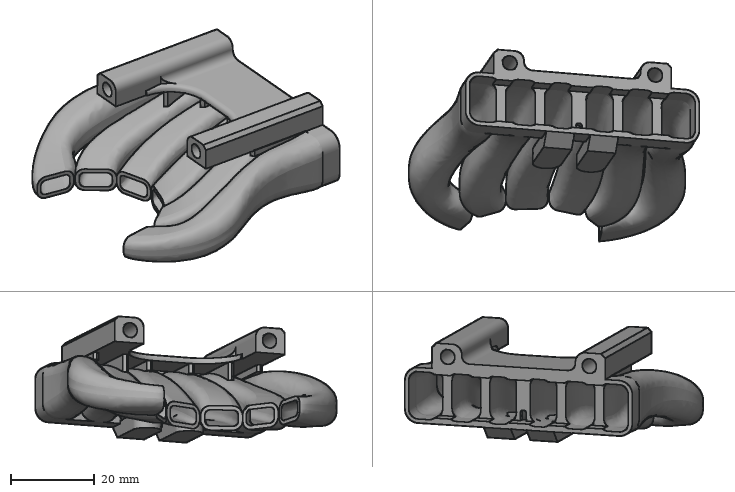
import cadquery as cq
import math

TOTAL_HEIGHT = 26.4

COLLAR_WIDTH = 57.8
COLLAR_DEPTH = 5.1
COLLAR_BOTTOM = 6.5
COLLAR_TOP = 20.15
COLLAR_RADIUS = 3.4
COLLAR_WALL = 1.5
DUCT_PITCH = COLLAR_WIDTH / 6

GAP_WIDTH = 1.5
GAP_HEIGHT = 2.6
GAP_RADIUS = 0.7

RAIL_LENGTH = 34.9
RAIL_OUTER_X = 22.0
RAIL_INNER_X = 14.45
RAIL_OUTER_CHAMFER = 1.0
RAIL_ROUND_DIAMETER = 4.7
RAIL_HOLE_DIAMETER = 3.6
RAIL_HOLE_X = 18.0
RAIL_HOLE_Z = 23.2

PLATE_TOP = 21.8
PLATE_EDGE_RADIUS = 1.255
EDGE_MARGIN = 0.1
PLATE_FRONT = 16.35
ARCH_FLAT_HALF = 4.5
ARCH_RADIUS = 9.6
RAIL_FILLET = 2.05

DUCT_WALL = 1.0
OUTLET_HEIGHT = 6.0
OUTLET_RADIUS = 2.34
DUCT_GAP = 0.3
HALF_GAP = DUCT_GAP / 2

LUG_X = 5.4
LUG_WIDTH = 6.9
LUG_LENGTH = 17.2
LUG_BOTTOM = 3.45

RIB_WIDTH = 1.4
RIBS = [(-21.1, -20.95, 18.45), (-13.55, -21.35, 15.8), (-5.4, -16.35, 17.8)]

OUTER_DUCT = [
    ((-3 * DUCT_PITCH, -COLLAR_DEPTH), (-2 * DUCT_PITCH - HALF_GAP, -COLLAR_DEPTH),
     COLLAR_BOTTOM, COLLAR_TOP, COLLAR_RADIUS),
    ((-28.6, -18.3), (-20.2, -17.6), 7.1, 19.2, 3.8),
    ((-32.1, -29.85), (-22.2, -27.5), 6.1, 16.95, 4.1),
    ((-33.7, -38.65), (-23.75, -37.65), 3.05, 12.75, 3.8),
    ((-27.25, -49.6), (-21.6, -42.4), 0.6, 8.35, 3.0),
    ((-17.5, -56.2), (-16.0, -46.4), 0.0, OUTLET_HEIGHT, OUTLET_RADIUS),
]
MIDDLE_DUCT = [
    ((-2 * DUCT_PITCH + HALF_GAP, -COLLAR_DEPTH), (-DUCT_PITCH - HALF_GAP, -COLLAR_DEPTH),
     COLLAR_BOTTOM, COLLAR_TOP, COLLAR_RADIUS),
    ((-19.3, -15.6), (-10.2, -15.6), 6.9, 17.85, 3.25),
    ((-21.6, -28.5), (-11.95, -28.5), 3.65, 12.6, 2.85),
    ((-21.15, -38.65), (-11.95, -34.6), 1.0, 9.15, 2.6),
    ((-15.9, -46.05), (-9.75, -38.2), 0.0, OUTLET_HEIGHT, OUTLET_RADIUS),
]
INNER_DUCT = [
    ((-DUCT_PITCH + HALF_GAP, -COLLAR_DEPTH), (-GAP_WIDTH / 2, -COLLAR_DEPTH),
     COLLAR_BOTTOM, COLLAR_TOP, COLLAR_RADIUS),
    ((-9.75, -14.9), (-0.6, -14.9), 5.8, 17.6, 3.1),
    ((-11.1, -27.8), (-1.0, -27.8), 2.9, 11.95, 2.7),
    ((-9.75, -38.2), (-HALF_GAP, -35.1), 0.0, OUTLET_HEIGHT, OUTLET_RADIUS),
]
DUCTS = [OUTER_DUCT, MIDDLE_DUCT, INNER_DUCT]


def box(x0, x1, y0, y1, z0, z1):
    return cq.Workplane("XY").box(x1 - x0, y1 - y0, z1 - z0, centered=False).translate((x0, y0, z0))


def both_sides(shape):
    return shape.union(shape.mirror("YZ"))


def section_wire(section, inset):
    """Rounded rectangle standing on the plan line between the outer and inner wall."""
    (outer_x, outer_y), (inner_x, inner_y), bottom, top, radius = section
    run_x = inner_x - outer_x
    run_y = inner_y - outer_y
    plane = cq.Plane(
        origin=((outer_x + inner_x) / 2, (outer_y + inner_y) / 2, (bottom + top) / 2),
        xDir=(run_x, run_y, 0),
        normal=(run_y, -run_x, 0),
    )
    width = math.hypot(run_x, run_y) - 2 * inset
    height = top - bottom - 2 * inset
    face = cq.Sketch().rect(width, height).vertices().fillet(radius - inset).reset().faces().val()
    return face.outerWire().located(plane.location)


def duct(sections, inset=0.0):
    wires = [section_wire(section, inset) for section in sections]
    return cq.Workplane(cq.Solid.makeLoft(wires))


def collar_block(inset, length):
    """Rounded block centred on the collar, reaching forward from the rear face."""
    return (
        cq.Workplane("XZ", origin=(0, 0, (COLLAR_TOP + COLLAR_BOTTOM) / 2))
        .rect(COLLAR_WIDTH - 2 * inset, COLLAR_TOP - COLLAR_BOTTOM - 2 * inset)
        .extrude(length)
        .edges("|Y")
        .fillet(COLLAR_RADIUS - inset)
    )


def collar():
    """Open-backed plenum whose front wall has one port per duct and a small central gap."""
    shape = collar_block(0, COLLAR_DEPTH).cut(collar_block(COLLAR_WALL, COLLAR_DEPTH - COLLAR_WALL))
    for sections in DUCTS:
        (outer_x, _), (inner_x, _), bottom, top, radius = sections[0]
        port = (
            cq.Workplane("XZ", origin=((outer_x + inner_x) / 2, 0, (bottom + top) / 2))
            .rect(inner_x - outer_x - 2 * DUCT_WALL, top - bottom - 2 * DUCT_WALL)
            .extrude(COLLAR_DEPTH)
            .edges("|Y")
            .fillet(radius - DUCT_WALL)
        )
        shape = shape.cut(both_sides(port))
    gap = (
        cq.Workplane("XZ", origin=(0, 0, COLLAR_BOTTOM + COLLAR_WALL + GAP_HEIGHT / 2))
        .rect(GAP_WIDTH, GAP_HEIGHT)
        .extrude(COLLAR_DEPTH)
        .edges("|Y and >Z")
        .fillet(GAP_RADIUS)
    )
    return shape.cut(gap)


def rail():
    """Rail with a chamfered outer top edge and a rounded inner one."""
    profile = [
        (-RAIL_OUTER_X, COLLAR_TOP),
        (-RAIL_INNER_X, COLLAR_TOP),
        (-RAIL_INNER_X, TOTAL_HEIGHT),
        (-RAIL_OUTER_X + RAIL_OUTER_CHAMFER, TOTAL_HEIGHT),
        (-RAIL_OUTER_X, TOTAL_HEIGHT - RAIL_OUTER_CHAMFER),
    ]
    bar = cq.Workplane("XZ").polyline(profile).close().extrude(RAIL_LENGTH)
    return bar.edges("|Y and >Z and >X").fillet(RAIL_ROUND_DIAMETER / 2)


def rail_hole():
    axis = cq.Workplane("XZ").center(-RAIL_HOLE_X, RAIL_HOLE_Z)
    return axis.circle(RAIL_HOLE_DIAMETER / 2).extrude(RAIL_LENGTH)


def arch_cutter(setback):
    """Arched opening at the front of the plate, pushed back by the given setback."""
    radius = ARCH_RADIUS + setback
    side = ARCH_FLAT_HALF + radius
    crown = setback - PLATE_FRONT
    shoulder = crown - radius
    diagonal = radius * math.sqrt(0.5)
    return (
        cq.Workplane("XY", origin=(0, 0, COLLAR_TOP))
        .moveTo(-side, -RAIL_LENGTH)
        .lineTo(-side, shoulder)
        .threePointArc((-ARCH_FLAT_HALF - diagonal, shoulder + diagonal), (-ARCH_FLAT_HALF, crown))
        .lineTo(ARCH_FLAT_HALF, crown)
        .threePointArc((ARCH_FLAT_HALF + diagonal, shoulder + diagonal), (side, shoulder))
        .lineTo(side, -RAIL_LENGTH)
        .close()
        .extrude(TOTAL_HEIGHT - COLLAR_TOP)
    )


def plate():
    shoulder = PLATE_FRONT + ARCH_RADIUS
    mid_rail = (RAIL_OUTER_X + RAIL_INNER_X) / 2
    slab = box(-mid_rail, mid_rail, -shoulder, 0, COLLAR_TOP, PLATE_TOP).cut(arch_cutter(0))
    front_edge = cq.selectors.BoxSelector(
        (-RAIL_INNER_X, -shoulder - EDGE_MARGIN, PLATE_TOP - EDGE_MARGIN),
        (RAIL_INNER_X, -PLATE_FRONT + EDGE_MARGIN, PLATE_TOP + EDGE_MARGIN),
    )
    return slab.edges(front_edge).fillet(PLATE_EDGE_RADIUS)


def rail_fillet():
    """Concave strip between the plate and the inner side of a rail."""
    bend = RAIL_FILLET * (1 - math.sqrt(0.5))
    strip = (
        cq.Workplane("XZ")
        .moveTo(-RAIL_INNER_X, PLATE_TOP)
        .lineTo(-RAIL_INNER_X + RAIL_FILLET, PLATE_TOP)
        .threePointArc(
            (-RAIL_INNER_X + bend, PLATE_TOP + bend),
            (-RAIL_INNER_X, PLATE_TOP + RAIL_FILLET),
        )
        .close()
        .extrude(PLATE_FRONT + ARCH_RADIUS)
    )
    return strip.cut(arch_cutter(PLATE_EDGE_RADIUS))


def lug():
    """Round-ended foot under the collar with a 45 degree rear chamfer."""
    drop = COLLAR_BOTTOM - LUG_BOTTOM
    straight = LUG_LENGTH - LUG_WIDTH / 2
    top = COLLAR_BOTTOM + COLLAR_WALL / 2
    body = box(-LUG_X - LUG_WIDTH / 2, -LUG_X + LUG_WIDTH / 2, -straight, 0, LUG_BOTTOM, top)
    nose = (
        cq.Workplane("XY", origin=(-LUG_X, -straight, LUG_BOTTOM))
        .circle(LUG_WIDTH / 2)
        .extrude(top - LUG_BOTTOM)
    )
    chamfer = (
        cq.Workplane("YZ")
        .polyline([(0, COLLAR_BOTTOM), (-drop, LUG_BOTTOM), (0, LUG_BOTTOM)])
        .close()
        .extrude(-COLLAR_WIDTH / 2)
    )
    return body.union(nose).cut(chamfer)


def rib(tip_x, tip_y, underside):
    """Upright rib under the plate with a wedge-shaped front end."""
    half = RIB_WIDTH / 2
    outline = [
        (tip_x - half, -COLLAR_DEPTH),
        (tip_x - half, tip_y + half),
        (tip_x, tip_y),
        (tip_x + half, tip_y + half),
        (tip_x + half, -COLLAR_DEPTH),
    ]
    base = cq.Workplane("XY", origin=(0, 0, underside)).polyline(outline).close()
    return base.extrude(COLLAR_TOP - underside)


def left_frame():
    """Collar, plate, rail and lug on the -X side of the mid-plane."""
    centre_parts = collar().union(plate())
    left_space = box(-COLLAR_WIDTH, 0, -RAIL_LENGTH, 0, 0, TOTAL_HEIGHT)
    shape = centre_parts.intersect(left_space)
    shape = shape.union(rail()).union(rail_fillet()).union(lug())
    return shape.cut(rail_hole())


def hollow_duct(sections, rib_size):
    """One duct with the rib on its back, bored through from collar to outlet."""
    outside = duct(sections).union(rib(*rib_size), clean=False)
    return outside.cut(duct(sections, DUCT_WALL), clean=False)


ducts = [hollow_duct(sections, rib_size).val() for sections, rib_size in zip(DUCTS, RIBS)]
left_half = cq.Workplane(left_frame().val().fuse(*ducts))
result = both_sides(left_half)